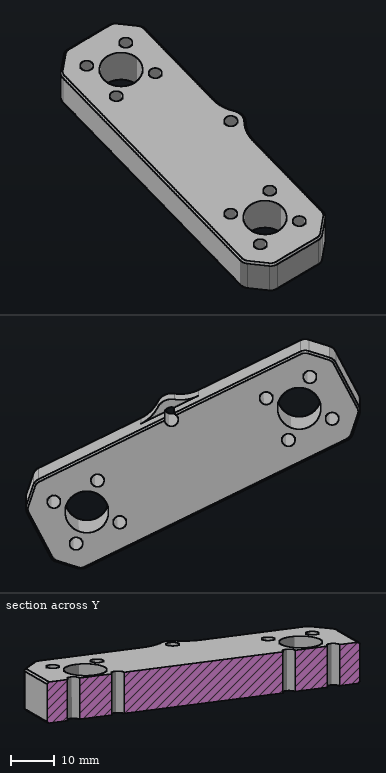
import cadquery as cq
import math

length = 80.0
width = 24.0
thickness = 10.0
corner_cut = 5.0
corner_round = 2.5
edge_chamfer = 0.5

lug_radius = 3.5
lug_inset = 1.0
lug_blend = 9.0
lug_thickness = 5.1
lug_hole_diameter = 3.1

bore_spacing = 55.0
bore_diameter = 10.0
screw_circle_diameter = 16.0
screw_hole_diameter = 3.0

side_y = width / 2
lug_y = side_y - lug_inset


def make_plate():
    """Plate with cut and rounded corners, chamfered around the bottom."""
    plate = cq.Workplane("XY").box(length, width, thickness, centered=(True, True, False))
    plate = plate.edges("|Z").chamfer(corner_cut)
    plate = plate.edges("|Z").fillet(corner_round)
    return plate.faces("<Z").edges().chamfer(edge_chamfer)


def make_lug():
    """Rounded lug whose concave flanks run tangent into the plate side."""
    blend_y = side_y + lug_blend
    centre_rise = blend_y - lug_y
    blend_x = math.sqrt((lug_radius + lug_blend) ** 2 - centre_rise ** 2)
    flank_angle = math.atan2(centre_rise, blend_x)
    tangent_x = lug_radius * math.cos(flank_angle)
    tangent_y = lug_y + lug_radius * math.sin(flank_angle)

    middle_angle = (flank_angle + math.pi / 2) / 2
    middle_x = blend_x - lug_blend * math.cos(middle_angle)
    middle_y = blend_y - lug_blend * math.sin(middle_angle)

    return (
        cq.Workplane("XY", origin=(0, 0, thickness - lug_thickness))
        .moveTo(-blend_x, side_y)
        .threePointArc((-middle_x, middle_y), (-tangent_x, tangent_y))
        .threePointArc((0, lug_y + lug_radius), (tangent_x, tangent_y))
        .threePointArc((middle_x, middle_y), (blend_x, side_y))
        .lineTo(blend_x, 0)
        .lineTo(-blend_x, 0)
        .close()
        .extrude(lug_thickness)
    )


def through_holes(points, diameter):
    """Cylinders that pass through the full thickness."""
    return cq.Workplane("XY").pushPoints(points).circle(diameter / 2).extrude(thickness)


body = make_plate().union(make_lug())
body = body.faces(">Z").edges().chamfer(edge_chamfer)

screw_offset = screw_circle_diameter / 2 * math.cos(math.pi / 4)
bore_points = [(side * bore_spacing / 2, 0) for side in (-1, 1)]
screw_points = [
    (bore_x + dx, bore_y + dy)
    for bore_x, bore_y in bore_points
    for dx in (-screw_offset, screw_offset)
    for dy in (-screw_offset, screw_offset)
]

result = (
    body.cut(through_holes(bore_points, bore_diameter))
    .cut(through_holes(screw_points, screw_hole_diameter))
    .cut(through_holes([(0, lug_y)], lug_hole_diameter))
)